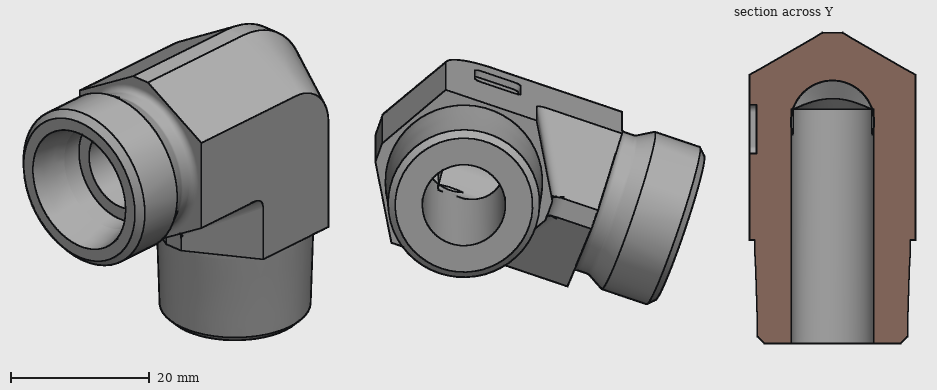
import cadquery as cq
import math


across_flats = 24.0
half_width = across_flats / 2
ridge_height = 13.0
shoulder_y = 20.0
shoulder_z = 17.0
inner_corner_radius = 2.0
hex_slope = math.tan(math.radians(30))
side_half_height = half_width * hex_slope
ridge_half_width = (2 * side_half_height - ridge_height) / hex_slope

overall_length = 46
socket_end_y = overall_length - ridge_height
socket_diameter = across_flats
neck_diameter = 21.1
neck_fillet = 1.0
collar_start_y = 25.1
collar_cone_angle = 30
end_chamfer = 1.0

thread_end_z = 31.95
thread_diameter = 22.67
thread_cylinder_length = 1.0
thread_taper = 1 / 16

bore_diameter = 12.0
seat_diameter = 16.0
seat_depth = 8.5
mouth_diameter = 18.3
mouth_cone_half_angle = 12
bore_overrun = 1.85
drill_half_angle = 59
bore_radius = bore_diameter / 2
drill_tip = bore_radius / math.tan(math.radians(drill_half_angle))

recess_size = 7.0
recess_depth = 1.0
recess_corner_radius = 1.0
recess_center_y = -1.0
recess_center_z = -1.0


def hexagon(plane):
    """Hexagon with its top and bottom points cut off flat."""
    right_half = [
        (ridge_half_width, -ridge_height),
        (half_width, -side_half_height),
        (half_width, side_half_height),
        (ridge_half_width, ridge_height),
    ]
    left_half = [(-x, y) for x, y in reversed(right_half)]
    return cq.Workplane(plane).polyline(right_half + left_half).close()


def outer_corner():
    """Upper half of the hexagon turned a quarter round the X axis."""
    upper_half = [
        (half_width, 0),
        (half_width, side_half_height),
        (ridge_half_width, ridge_height),
        (-ridge_half_width, ridge_height),
        (-half_width, side_half_height),
        (-half_width, 0),
    ]
    full_turn = cq.Workplane("XZ").polyline(upper_half).close().revolve(360, (0, 0), (1, 0))
    quadrant = cq.Workplane("XY").box(
        across_flats, ridge_height, ridge_height, centered=(True, False, False)
    )
    return full_turn.intersect(quadrant)


def hexagonal_body():
    socket_arm = hexagon("XZ").extrude(shoulder_y)
    thread_arm = hexagon("XY").extrude(-shoulder_z)
    arms = socket_arm.union(thread_arm)
    margin = 0.45
    far = -ridge_height - margin
    near = -side_half_height - margin
    inner_corner = cq.selectors.BoxSelector((-half_width, far, far), (half_width, near, near))
    arms = arms.edges(inner_corner).fillet(inner_corner_radius)
    return arms.union(outer_corner())


def socket_end():
    """Necked collar, turned about the Y axis."""
    neck_radius = neck_diameter / 2
    collar_radius = socket_diameter / 2
    cone_angle = math.radians(collar_cone_angle)
    cone_length = (collar_radius - neck_radius) / math.tan(cone_angle)
    blend_length = neck_fillet * math.tan(cone_angle / 2)
    blend_start_y = collar_start_y - cone_length - blend_length

    def blend_point(angle):
        """Point on the neck-to-cone blend, at an angle from its start."""
        radius = neck_radius + neck_fillet * (1 - math.cos(angle))
        return (radius, -blend_start_y - neck_fillet * math.sin(angle))

    arc_middle = neck_fillet * (1 - math.sqrt(0.5))
    shoulder_middle = (neck_radius + arc_middle, -shoulder_y - arc_middle)
    return (
        cq.Workplane("XY")
        .moveTo(0, -shoulder_y)
        .lineTo(neck_radius + neck_fillet, -shoulder_y)
        .threePointArc(shoulder_middle, (neck_radius, -shoulder_y - neck_fillet))
        .lineTo(neck_radius, -blend_start_y)
        .threePointArc(blend_point(cone_angle / 2), blend_point(cone_angle))
        .lineTo(collar_radius, -collar_start_y)
        .lineTo(collar_radius, -socket_end_y + end_chamfer)
        .lineTo(collar_radius - end_chamfer, -socket_end_y)
        .lineTo(0, -socket_end_y)
        .close()
        .revolve(360, (0, 0), (0, 1))
    )


def turned(plane, profile):
    """Solid of revolution about the vertical axis of the plane."""
    return cq.Workplane(plane).polyline(profile).close().revolve(360, (0, 0), (0, 1))


def thread_end():
    """Tapered spigot, turned about the Z axis."""
    top_radius = thread_diameter / 2
    taper_start_z = shoulder_z + thread_cylinder_length
    chamfer_z = thread_end_z - end_chamfer
    tip_radius = top_radius - (chamfer_z - taper_start_z) * thread_taper / 2
    profile = [
        (0, -shoulder_z),
        (top_radius, -shoulder_z),
        (top_radius, -taper_start_z),
        (tip_radius, -chamfer_z),
        (tip_radius - end_chamfer, -thread_end_z),
        (0, -thread_end_z),
    ]
    return turned("XZ", profile)


def socket_bore():
    """Blind drilling along Y with a stepped, flared seat at its mouth."""
    seat_y = -socket_end_y + seat_depth
    seat_radius = seat_diameter / 2
    mouth_radius = mouth_diameter / 2
    cone_depth = (mouth_radius - seat_radius) / math.tan(math.radians(mouth_cone_half_angle))
    profile = [
        (0, -socket_end_y),
        (mouth_radius, -socket_end_y),
        (seat_radius, -socket_end_y + cone_depth),
        (seat_radius, seat_y),
        (bore_radius, seat_y),
        (bore_radius, bore_overrun),
        (0, bore_overrun + drill_tip),
    ]
    return turned("XY", profile)


def thread_bore():
    """Blind drilling along Z that meets the socket bore."""
    profile = [
        (0, -thread_end_z),
        (bore_radius, -thread_end_z),
        (bore_radius, bore_overrun),
        (0, bore_overrun + drill_tip),
    ]
    return turned("XZ", profile)


def side_recess():
    return (
        cq.Workplane("XY")
        .box(recess_depth, recess_size, recess_size, centered=(False, True, True))
        .edges("|X")
        .fillet(recess_corner_radius)
        .translate((-half_width, recess_center_y, recess_center_z))
    )


result = (
    hexagonal_body()
    .union(socket_end())
    .union(thread_end())
    .cut(socket_bore())
    .cut(thread_bore())
    .cut(side_recess())
)